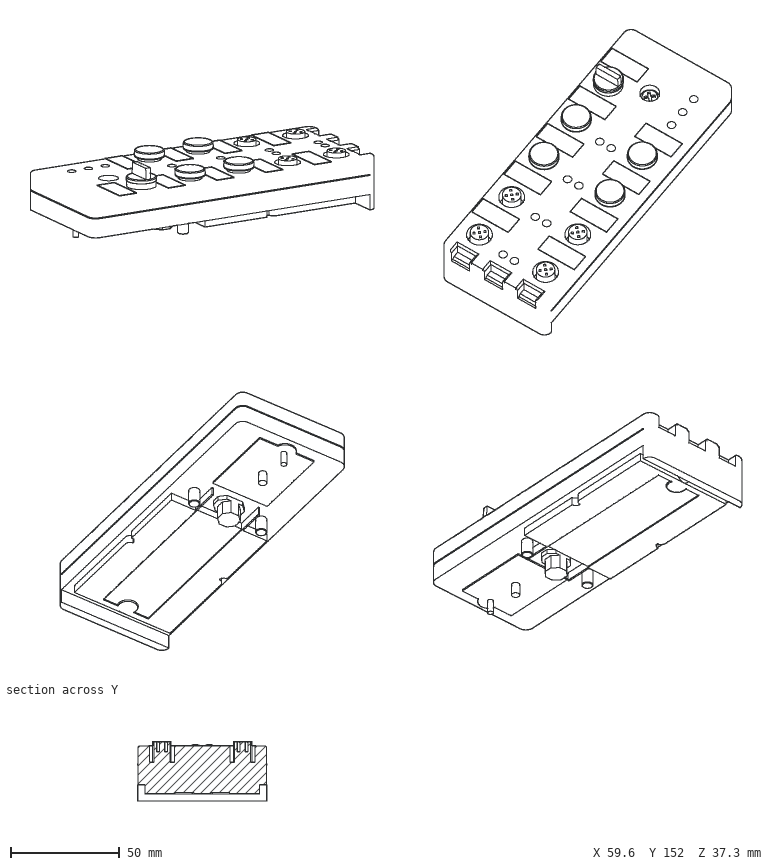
import cadquery as cq
import math

LENGTH = 152.0
WIDTH = 59.6
BODY_HEIGHT = 18.1
CORNER_RADIUS = 4.1
TOP_EDGE_RADIUS = 1.0

GROOVE_Z = 9.1
GROOVE_HEIGHT = 0.5
GROOVE_DEPTH = 0.2

REAR_WALL_THICKNESS = 4.0
REAR_WALL_DROP = 7.5

NOTCH_WIDTH = 12.2
NOTCH_PITCH = 18.5
NOTCH_LENGTH = 6.1
NOTCH_DEPTH = 6.1
NOTCH_BEVEL = 1.0
NOTCH_BEVEL_ANGLE = 45
NOTCH_SILL_LENGTH = 2.1
NOTCH_SILL_DROP = 1.0
TAB_WIDTH = NOTCH_PITCH - NOTCH_WIDTH

COLUMN_X = 18.5
FIRST_ROW_Y = 60.6
ROW_PITCH = 26.0
SOCKET_ROWS = (0, 1)
CAP_ROWS = (2, 3)
PLUG_ROW = 4

SOCKET_RADIUS = 6.0
SOCKET_DEPTH = 7.6
INSERT_RADIUS = 4.3
INSERT_RISE = 1.8
PIN_RADIUS = 0.53
PIN_OFFSET = 1.8
PIN_DEPTH = 4.5

CAP_RADIUS = 7.0
CAP_TOP_RISE = 4.5
CAP_RIM_RISE = 1.4
CAP_NECK_RADIUS = 5.5
CAP_BEVEL = 0.5
CAP_BAND_RISE = 1.8
CAP_BAND_HEIGHT = 0.9
CAP_BAND_DEPTH = 0.2
BLADE_TOP_Z = 28.0
BLADE_THICKNESS = 2.5
BLADE_BASE_RADIUS = 6.5
BLADE_TOP_RADIUS = 6.1

LABEL_INNER_X = 8.4
LABEL_OUTER_X = WIDTH / 2 - TOP_EDGE_RADIUS
LABEL_LENGTH = 9.1
LABEL_HEIGHT = 0.3
LABEL_SETBACK = 13.0

LAMP_RADIUS = 2.0
LAMP_HEIGHT = 0.6
LAMP_X = 3.2
LAMP_ADVANCE = 3.0
STATUS_LAMP_Y = -40.9
STATUS_LAMP_PITCH = 9.0
STATUS_LAMP_COUNT = 3

SCREW_Y = -50.0
SCREW_BORE_RADIUS = 4.5
SCREW_BORE_DEPTH = 3.6
SCREW_HEAD_RADIUS = 3.6
SCREW_HEAD_HEIGHT = 0.9
SCREW_SLOT_WIDTH = 1.2
SCREW_SLOT_LENGTH = 5.2
SCREW_SLOT_ANGLE = 45
SCREW_SHANK_RADIUS = 1.9
SCREW_SHANK_DROP = 6.5

PEDESTAL_HALF_WIDTH = 26.5
PEDESTAL_DROP = 4.1
PEDESTAL_FRONT_Y = -14.0
PEDESTAL_REAR_Y = 66.3
CHANNEL_HALF_WIDTH = 12.5
CHANNEL_REAR_Y = 63.2
CHANNEL_DEPTH = 0.6
ARM_FRONT_Y = -27.8
ARM_THICKNESS = 0.8
REAR_BOSS_RADIUS = 4.5
REAR_BOSS_FLARE = 2.3
SIDE_FLUTE_Y = 21.6
SIDE_FLUTE_RADIUS = 2.6

CLIP_Y = -22.0
CLIP_WIDTH = 9.9
CLIP_DROP = 9.3
CLIP_SIDES = 8
FLANGE_WIDTH = 14.6
FLANGE_DROP = 2.3
FLANGE_BEVEL = 3.0
POST_Y = -21.1
POST_RADIUS = 2.6
POST_DROP = 7.8
POST_BEVEL = 0.3
PAD_HALF_WIDTH = 15.0
PAD_REAR_Y = -31.3
PAD_FRONT_Y = -70.0
PAD_NOSE_Y = -73.7
PAD_NOSE_HALF_WIDTH = 5.0
PAD_DROP = 0.8
PEG_Y = -67.5
PEG_RADIUS = 1.4
PEG_DROP = 7.5


def row_y(row):
    return FIRST_ROW_Y - row * ROW_PITCH


def box(x0, x1, y0, y1, z0, z1):
    return cq.Workplane("XY").box(x1 - x0, y1 - y0, z1 - z0, centered=False).translate((x0, y0, z0))


def cylinder(x, y, radius, z0, z1):
    return cq.Workplane("XY").circle(radius).extrude(z1 - z0).translate((x, y, z0))


def rounded_block(inset, z0, z1):
    """Housing footprint, shrunk by inset, between two heights."""
    return (
        cq.Workplane("XY", origin=(0, 0, z0))
        .rect(WIDTH - 2 * inset, LENGTH - 2 * inset)
        .extrude(z1 - z0)
        .edges("|Z")
        .fillet(CORNER_RADIUS - inset)
    )


def housing():
    wall_front_y = LENGTH / 2 - REAR_WALL_THICKNESS
    body = rounded_block(0, -REAR_WALL_DROP, BODY_HEIGHT).faces(">Z").edges().fillet(TOP_EDGE_RADIUS)
    body = body.cut(box(-WIDTH, WIDTH, -LENGTH, wall_front_y, -REAR_WALL_DROP, 0))
    groove_top = GROOVE_Z + GROOVE_HEIGHT
    groove = rounded_block(-GROOVE_DEPTH, GROOVE_Z, groove_top).cut(
        rounded_block(GROOVE_DEPTH, GROOVE_Z, groove_top)
    )
    groove = groove.intersect(box(-WIDTH, WIDTH, -LENGTH, wall_front_y, GROOVE_Z, groove_top))
    return body.cut(groove)


def rear_tabs():
    """Square-edged tabs left standing between the notches."""
    tabs = cq.Workplane("XY")
    rear = LENGTH / 2
    for side in (-1, 1):
        x = side * NOTCH_PITCH / 2
        half = TAB_WIDTH / 2
        tabs = tabs.add(
            box(x - half, x + half, rear - NOTCH_LENGTH, rear, BODY_HEIGHT - NOTCH_DEPTH, BODY_HEIGHT)
        )
    return tabs.combine()


def notch_cutter():
    """Notch with bevelled upper edges and a sloped sill down to its open end."""
    rear = LENGTH / 2
    half = NOTCH_WIDTH / 2 - NOTCH_BEVEL
    front = rear - NOTCH_LENGTH + NOTCH_BEVEL
    floor = BODY_HEIGHT - NOTCH_DEPTH
    cutter = box(-half, half, front, 2 * rear - front, floor, BODY_HEIGHT)
    sill_y = rear - NOTCH_SILL_LENGTH
    sill = (
        cq.Workplane("YZ")
        .moveTo(sill_y, floor)
        .lineTo(sill_y + NOTCH_SILL_DROP, floor - NOTCH_SILL_DROP)
        .lineTo(rear, floor - NOTCH_SILL_DROP)
        .lineTo(rear, floor)
        .close()
        .extrude(half, both=True)
    )
    cutter = cutter.union(sill)
    bevel = (
        cq.Workplane("XY", origin=(0, rear, BODY_HEIGHT))
        .rect(NOTCH_WIDTH, 2 * NOTCH_LENGTH)
        .extrude(-NOTCH_BEVEL, taper=NOTCH_BEVEL_ANGLE)
    )
    return cutter.union(bevel)


def socket_bore(x, y):
    """Annular recess around a central contact insert."""
    floor = BODY_HEIGHT - SOCKET_DEPTH
    bore = cylinder(x, y, SOCKET_RADIUS, floor, BODY_HEIGHT)
    return bore.cut(cylinder(x, y, INSERT_RADIUS, floor, BODY_HEIGHT))


def socket_insert(x, y):
    """Contact insert standing above the cover."""
    top = BODY_HEIGHT + INSERT_RISE
    return cylinder(x, y, INSERT_RADIUS, BODY_HEIGHT - SOCKET_DEPTH, top)


def socket_contacts(x, y):
    """Five contact holes, one central and four around it."""
    top = BODY_HEIGHT + INSERT_RISE
    spots = [(0, 0)] + [(i * PIN_OFFSET, j * PIN_OFFSET) for i in (-1, 1) for j in (-1, 1)]
    holes = cq.Workplane("XY", origin=(x, y, top)).pushPoints(spots).circle(PIN_RADIUS)
    return holes.extrude(-PIN_DEPTH)


def cap(x, y):
    """Round cap on a narrower neck, with a slightly raised band and a bevelled top edge."""
    top = CAP_TOP_RISE
    band_radius = CAP_RADIUS - CAP_BAND_DEPTH
    band_top = CAP_BAND_RISE + CAP_BAND_HEIGHT
    profile = [
        (0, 0),
        (CAP_NECK_RADIUS, 0),
        (CAP_NECK_RADIUS, CAP_RIM_RISE),
        (band_radius, CAP_RIM_RISE),
        (band_radius, CAP_BAND_RISE),
        (CAP_RADIUS, CAP_BAND_RISE),
        (CAP_RADIUS, band_top),
        (band_radius, top - CAP_BEVEL),
        (band_radius - CAP_BEVEL, top),
        (0, top),
    ]
    turned = cq.Workplane("XZ").polyline(profile).close().revolve(360, (0, 0, 0), (0, 1, 0))
    return turned.translate((x, y, BODY_HEIGHT))


def addressing_plug(x, y):
    """Plug with a straight base and a tapered grip blade."""
    base_z = BODY_HEIGHT + CAP_TOP_RISE
    collar_z = BODY_HEIGHT + CAP_BAND_RISE + CAP_BAND_HEIGHT
    collar = cylinder(x, y, CAP_RADIUS, collar_z, base_z).faces(">Z").edges().chamfer(CAP_BEVEL)
    base = collar.union(cylinder(x, y, CAP_RADIUS - CAP_BAND_DEPTH, BODY_HEIGHT, collar_z))
    cone = (
        cq.Workplane("XY", origin=(x, y, base_z))
        .circle(BLADE_BASE_RADIUS)
        .workplane(offset=BLADE_TOP_Z - base_z)
        .circle(BLADE_TOP_RADIUS)
        .loft()
    )
    half = BLADE_THICKNESS / 2
    slab = box(x - CAP_RADIUS, x + CAP_RADIUS, y - half, y + half, base_z, BLADE_TOP_Z)
    return base.union(cone.intersect(slab))


def label(side, row):
    width = LABEL_OUTER_X - LABEL_INNER_X
    x = side * (LABEL_INNER_X + LABEL_OUTER_X) / 2
    plate = cq.Workplane("XY").rect(width, LABEL_LENGTH).extrude(LABEL_HEIGHT)
    return plate.translate((x, row_y(row) - LABEL_SETBACK, BODY_HEIGHT))


def lamp(x, y):
    """Shallow spherical dome."""
    sphere_radius = (LAMP_RADIUS**2 + LAMP_HEIGHT**2) / (2 * LAMP_HEIGHT)
    mid_angle = math.asin(LAMP_RADIUS / sphere_radius) / 2
    mid = (
        sphere_radius * math.sin(mid_angle),
        LAMP_HEIGHT - sphere_radius * (1 - math.cos(mid_angle)),
    )
    dome = (
        cq.Workplane("XZ")
        .lineTo(LAMP_RADIUS, 0)
        .threePointArc(mid, (0, LAMP_HEIGHT))
        .close()
        .revolve(360, (0, 0, 0), (0, 1, 0))
    )
    return dome.translate((x, y, BODY_HEIGHT))


def screw_recess():
    """Counterbore around a cross-slotted screw head."""
    floor = BODY_HEIGHT - SCREW_BORE_DEPTH
    head_top = floor + SCREW_HEAD_HEIGHT
    slots = cq.Workplane("XY", origin=(0, SCREW_Y, floor))
    cross = slots.rect(SCREW_SLOT_LENGTH, SCREW_SLOT_WIDTH).extrude(SCREW_HEAD_HEIGHT)
    cross = cross.union(slots.rect(SCREW_SLOT_WIDTH, SCREW_SLOT_LENGTH).extrude(SCREW_HEAD_HEIGHT))
    cross = cross.rotate((0, SCREW_Y, 0), (0, SCREW_Y, 1), SCREW_SLOT_ANGLE)
    head = cylinder(0, SCREW_Y, SCREW_HEAD_RADIUS, floor, head_top).cut(cross)
    return cylinder(0, SCREW_Y, SCREW_BORE_RADIUS, floor, BODY_HEIGHT).cut(head)


def side_flute():
    """Flute across the pedestal side: one rounded-over flank and one hollow flank."""
    edge_x = PEDESTAL_HALF_WIDTH
    radius = SIDE_FLUTE_RADIUS
    floor_x = edge_x - radius
    bow = radius * math.sqrt(0.5)
    outline = (
        cq.Workplane("XY")
        .moveTo(edge_x, SIDE_FLUTE_Y + radius)
        .threePointArc((floor_x + bow, SIDE_FLUTE_Y + radius - bow), (floor_x, SIDE_FLUTE_Y))
        .threePointArc((edge_x - bow, SIDE_FLUTE_Y - bow), (edge_x, SIDE_FLUTE_Y - radius))
        .close()
    )
    return outline.extrude(-PEDESTAL_DROP)


def pedestal():
    """Low pedestal with two thin front arms, a shallow channel and a flared rear boss."""
    half = PEDESTAL_HALF_WIDTH
    channel_half = CHANNEL_HALF_WIDTH
    arm_half = channel_half + ARM_THICKNESS
    channel_top = CHANNEL_DEPTH - PEDESTAL_DROP
    block = box(-half, half, PEDESTAL_FRONT_Y, PEDESTAL_REAR_Y, -PEDESTAL_DROP, 0)
    block = block.union(box(-arm_half, arm_half, ARM_FRONT_Y, PEDESTAL_FRONT_Y, -PEDESTAL_DROP, 0))
    block = block.cut(box(-channel_half, channel_half, ARM_FRONT_Y, PEDESTAL_FRONT_Y, -PEDESTAL_DROP, 0))
    block = block.cut(
        box(-channel_half, channel_half, PEDESTAL_FRONT_Y, CHANNEL_REAR_Y, -PEDESTAL_DROP, channel_top)
    )
    block = block.cut(side_flute()).cut(side_flute().mirror("YZ"))
    boss = (
        cq.Workplane("XY", origin=(0, PEDESTAL_REAR_Y - REAR_BOSS_RADIUS, 0))
        .circle(REAR_BOSS_RADIUS + REAR_BOSS_FLARE)
        .workplane(offset=-PEDESTAL_DROP)
        .circle(REAR_BOSS_RADIUS)
        .loft()
    )
    return block.union(boss)


def clip():
    """Octagonal latch boss under a bevelled flange."""
    across_corners = CLIP_WIDTH / math.cos(math.pi / CLIP_SIDES)
    boss = (
        cq.Workplane("XY")
        .polygon(CLIP_SIDES, across_corners)
        .extrude(-CLIP_DROP)
        .rotate((0, 0, 0), (0, 0, 1), 180 / CLIP_SIDES)
    )
    flange = cq.Workplane("XY").rect(FLANGE_WIDTH, CLIP_WIDTH).extrude(-FLANGE_DROP)
    flange = flange.edges("|Z").chamfer(FLANGE_BEVEL)
    return boss.union(flange).translate((0, CLIP_Y, 0))


def post(x):
    pin = cylinder(x, POST_Y, POST_RADIUS, -POST_DROP, 0)
    return pin.faces("<Z").edges().chamfer(POST_BEVEL)


def front_pad():
    """Thin pad with a rounded nose."""
    return (
        cq.Workplane("XY")
        .moveTo(-PAD_HALF_WIDTH, PAD_REAR_Y)
        .lineTo(-PAD_HALF_WIDTH, PAD_FRONT_Y)
        .lineTo(-PAD_NOSE_HALF_WIDTH, PAD_FRONT_Y)
        .threePointArc((0, PAD_NOSE_Y), (PAD_NOSE_HALF_WIDTH, PAD_FRONT_Y))
        .lineTo(PAD_HALF_WIDTH, PAD_FRONT_Y)
        .lineTo(PAD_HALF_WIDTH, PAD_REAR_Y)
        .close()
        .extrude(-PAD_DROP)
    )


part = housing().union(rear_tabs())
for notch in (-1, 0, 1):
    part = part.cut(notch_cutter().translate((notch * NOTCH_PITCH, 0, 0)))
part = part.cut(screw_recess())

for side in (-1, 1):
    for row in SOCKET_ROWS:
        spot = (side * COLUMN_X, row_y(row))
        part = part.cut(socket_bore(*spot))
        part = part.union(socket_insert(*spot))
        part = part.cut(socket_contacts(*spot))
    for row in CAP_ROWS:
        part = part.union(cap(side * COLUMN_X, row_y(row)))
    for row in SOCKET_ROWS + CAP_ROWS:
        part = part.union(label(side, row))
        part = part.union(lamp(side * LAMP_X, row_y(row) + LAMP_ADVANCE))
part = part.union(addressing_plug(COLUMN_X, row_y(PLUG_ROW)))
part = part.union(label(1, PLUG_ROW))
for index in range(STATUS_LAMP_COUNT):
    part = part.union(lamp(-COLUMN_X, STATUS_LAMP_Y - index * STATUS_LAMP_PITCH))

part = part.union(pedestal()).union(clip())
for side in (-1, 1):
    part = part.union(post(side * COLUMN_X))
part = part.union(front_pad()).union(cylinder(0, PEG_Y, PEG_RADIUS, -PEG_DROP, 0))
part = part.union(cylinder(0, SCREW_Y, SCREW_SHANK_RADIUS, -SCREW_SHANK_DROP, 0))

result = part